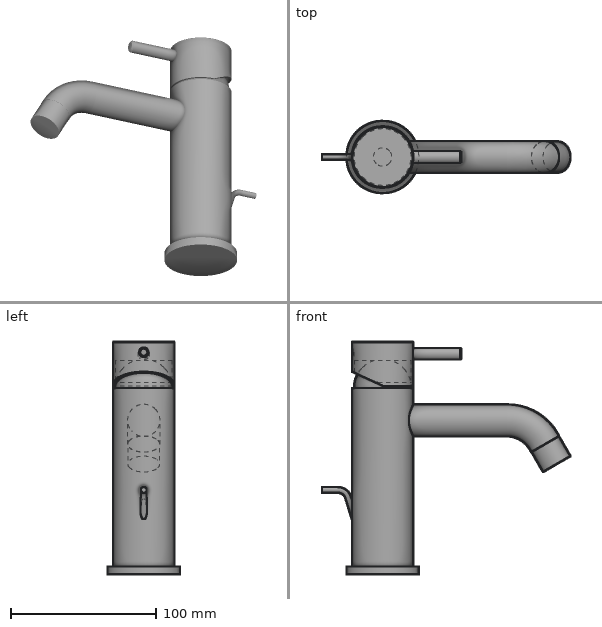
import cadquery as cq
import math

flange_radius = 25.0
flange_height = 5.6
body_radius = 21.2
body_top = 128.3

total_height = 160.3
handle_radius = 21.2
handle_bottom = 129.8
handle_edge_chamfer = 0.5
handle_relief_rise = 9.8
cartridge_radius = 19.8

handle_cavity_radius = 19.5
handle_cavity_ceiling = 147.1

stick_radius = 4.1
stick_end = 54.4
stick_height = 151.9
stick_chamfer = 1.0
recess_mouth_radius = 3.3
recess_floor_radius = 2.5
recess_height = 153.0
recess_depth = 1.4

spout_radius = 11.1
spout_height = 106.0
spout_straight_end = 85.7
spout_bend_radius = 29.0
spout_bend_angle = 60.0
spout_collar_length = 2.0
nozzle_radius = 11.0
nozzle_length = 15.9

lever_radius = 2.0
lever_root_radius = 2.7
lever_end = -41.7
lever_bend_start = -30.6
lever_height = 58.2
lever_bend_radius = 7.2
lever_bend_angle = 71.0
lever_root_length = 20.5


def cylinder(start, direction, radius, length):
    return cq.Workplane(cq.Solid.makeCylinder(radius, length, cq.Vector(*start), cq.Vector(*direction)))


def bent_rod(start_x, bend_x, height, radius, bend_radius, bend_angle):
    """Round rod running along +X, then bending downward; returns it with its end point and direction."""
    def on_bend(angle):
        turn = math.radians(angle)
        return (bend_x + bend_radius * math.sin(turn), height - bend_radius * (1 - math.cos(turn)))

    end = on_bend(bend_angle)
    path = (
        cq.Workplane("XZ")
        .moveTo(start_x, height)
        .lineTo(bend_x, height)
        .threePointArc(on_bend(bend_angle / 2), end)
    )
    rod = cq.Workplane("YZ", origin=(start_x, 0, height)).circle(radius).sweep(path)
    turn = math.radians(bend_angle)
    return rod, (end[0], 0, end[1]), (math.cos(turn), 0, -math.sin(turn))


def make_body():
    flange = cq.Workplane("XY").circle(flange_radius).extrude(flange_height)
    column = cq.Workplane("XY").circle(body_radius).extrude(body_top)
    cartridge = cq.Workplane("XY").sphere(cartridge_radius).translate((0, 0, body_top))
    return flange.union(column).union(cartridge)


def make_handle():
    cap = (
        cq.Workplane("XY", origin=(0, 0, handle_bottom))
        .circle(handle_radius)
        .extrude(total_height - handle_bottom)
        .faces(">Z")
        .chamfer(handle_edge_chamfer)
    )
    reach = 2 * handle_radius
    relief = (
        cq.Workplane("XZ")
        .moveTo(0, handle_bottom)
        .lineTo(-reach, handle_bottom)
        .lineTo(-reach, handle_bottom + handle_relief_rise * reach / handle_radius)
        .close()
        .extrude(reach, both=True)
    )
    cavity = cylinder(
        (0, 0, handle_bottom), (0, 0, 1), handle_cavity_radius, handle_cavity_ceiling - handle_bottom
    )
    stick = cylinder((0, 0, stick_height), (1, 0, 0), stick_radius, stick_end).faces(">X").chamfer(stick_chamfer)
    recess = cq.Solid.makeCone(
        recess_mouth_radius,
        recess_floor_radius,
        recess_depth,
        cq.Vector(-handle_radius, 0, recess_height),
        cq.Vector(1, 0, 0),
    )
    return cap.cut(relief).cut(cavity).union(stick).cut(cq.Workplane(recess))


def make_spout():
    tube, bend_end, direction = bent_rod(
        0, spout_straight_end, spout_height, spout_radius, spout_bend_radius, spout_bend_angle
    )
    collar = cylinder(bend_end, direction, spout_radius, spout_collar_length)
    nozzle = cylinder(bend_end, direction, nozzle_radius, spout_collar_length + nozzle_length)
    return tube.union(collar).union(nozzle)


def make_lever():
    rod, bend_end, direction = bent_rod(
        lever_end, lever_bend_start, lever_height, lever_radius, lever_bend_radius, lever_bend_angle
    )
    root = cq.Solid.makeCone(
        lever_radius, lever_root_radius, lever_root_length, cq.Vector(*bend_end), cq.Vector(*direction)
    )
    return rod.union(cq.Workplane(root))


result = make_body().union(make_handle()).union(make_spout()).union(make_lever())